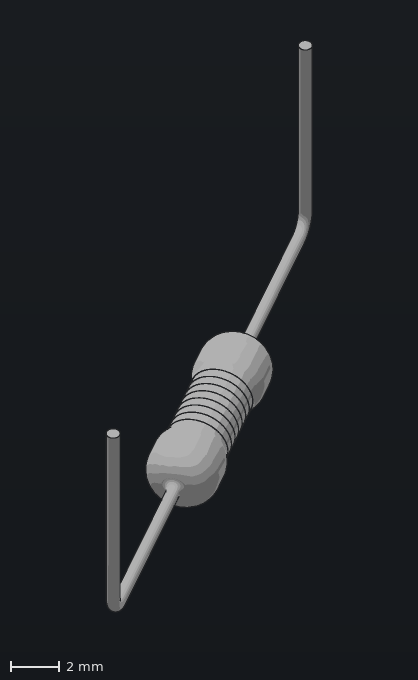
import cadquery as cq
import math

overall_length = 25.6
wire_diameter = 0.6
bend_radius = 0.87
lead_top = 10.2
wire_radius = wire_diameter / 2
lead_y = overall_length / 2 - wire_radius

cap_radius = 3.2 / 2
waist_radius = 2.71 / 2
band_radius = 2.75 / 2
band_width = 0.45
body_half_length = 4.5
dome_radius = 1.13
collar_length = 0.3
collar_radius = 0.6
shoulder_inner_y = 3.5 * band_width
shoulder_outer_y = 5.5 * band_width
band_starts = [band_width * step for step in (-3.5, -1.5, 0.5, 2.5)]
diagonal = math.sqrt(0.5)


def make_wire():
    """Sweep the round wire along a U-shaped path."""
    bend_y = lead_y - bend_radius
    bend_offset = bend_radius * diagonal
    path = (
        cq.Workplane("YZ")
        .moveTo(-lead_y, lead_top)
        .lineTo(-lead_y, bend_radius)
        .threePointArc((-bend_y - bend_offset, bend_radius - bend_offset), (-bend_y, 0))
        .lineTo(bend_y, 0)
        .threePointArc((bend_y + bend_offset, bend_radius - bend_offset), (lead_y, bend_radius))
        .lineTo(lead_y, lead_top)
    )
    section = cq.Workplane("XY", origin=(0, -lead_y, lead_top)).circle(wire_radius)
    return section.sweep(path)


def make_half_body():
    """Revolve the +Y half: waist, S-shaped shoulder, domed cap and flared collar."""
    shoulder_y = (shoulder_inner_y + shoulder_outer_y) / 2
    shoulder_radius = (waist_radius + cap_radius) / 2
    dome_y = body_half_length - dome_radius
    dome_center_radius = cap_radius - dome_radius
    face_y = dome_y + math.sqrt(dome_radius**2 - (collar_radius - dome_center_radius) ** 2)
    collar_end_y = body_half_length + collar_length
    flare_height = collar_radius - wire_radius
    flare_length = collar_end_y - face_y
    profile = (
        cq.Workplane("XY")
        .lineTo(waist_radius, 0)
        .lineTo(waist_radius, shoulder_inner_y)
        .tangentArcPoint((shoulder_radius, shoulder_y), relative=False)
        .tangentArcPoint((cap_radius, shoulder_outer_y), relative=False)
        .lineTo(cap_radius, dome_y)
        .threePointArc(
            (dome_center_radius + dome_radius * diagonal, dome_y + dome_radius * diagonal),
            (collar_radius, face_y),
        )
        .threePointArc(
            (collar_radius - flare_height * diagonal, collar_end_y - flare_length * diagonal),
            (wire_radius, collar_end_y),
        )
        .lineTo(0, collar_end_y)
        .close()
    )
    return profile.revolve(360, (0, 0), (0, 1))


def make_band(start_y):
    """Thin raised ring around the waist."""
    disc = cq.Solid.makeCylinder(
        band_radius, band_width, cq.Vector(0, start_y, 0), cq.Vector(0, 1, 0)
    )
    return cq.Workplane(obj=disc)


half_body = make_half_body()
result = make_wire().union(half_body).union(half_body.mirror("XZ"))
for band_start in band_starts:
    result = result.union(make_band(band_start))